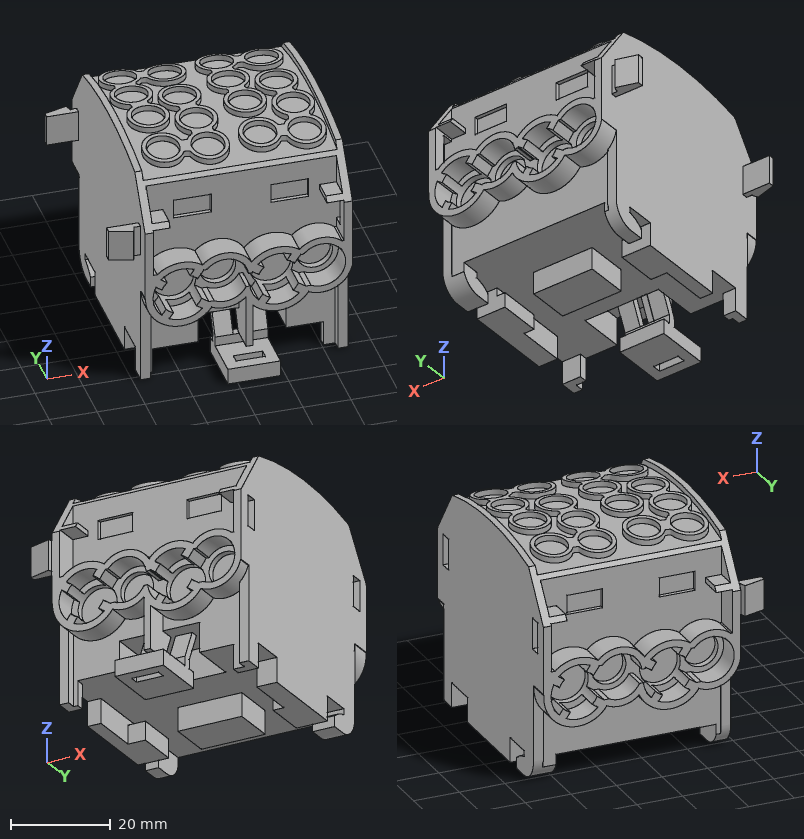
import cadquery as cq
import math

width = 43.3
half_width = width / 2
half_depth = 25.97
height = 49.3

shoulder_y, shoulder_z = 18.7, 47.0
slope_foot_z = 36.7
arc_radius = (shoulder_y**2 + (height - shoulder_z) ** 2) / (2 * (height - shoulder_z))
arc_center_z = height - arc_radius
front_step_y, front_step_z = 22.85, 21.1
back_step_y, back_step_z = 21.1, 21.7
back_corner_radius = 5.0
underside_z = 5.5
front_leg_back_y = -18.87
middle_foot_front_y, middle_foot_back_y = -11.2, 9.7
hook_tip_y, hook_root_y = 12.7, 16.5
hook_tip_z, hook_knee_z, hook_root_z = 2.4, 3.6, 4.2
hook_knee_y = 14.6

roof_drop = 1.25
roof_half_width = 20.2
wall_y = 20.5
lower_wall_y = 20.8
upper_plate_thickness = 1.8
lower_plate_thickness = 2.15

left_foot_thickness = 3.1
right_leg_thickness = 4.6
right_foot_thickness = 5.1
bar_length = 7.05
left_bar_height = 4.2
right_bar_height = 3.55

tab_length = 3.5
tab_bottom_z, tab_top_z = 37.05, 38.2

window_x = 10.15
window_width = 7.85
window_bottom_z, window_top_z = 35.8, 40.0
window_depth = 0.9

clip_length = 6.64
clip_bottom_z, clip_top_z = 29.7, 36.5
clip_inner_y, clip_outer_y, clip_barb_y = 21.28, 22.6, 24.0
clip_barb_x = 1.8
clip_neck_x = 1.3
slot_inner_y, slot_outer_y = wall_y, 23.15

funnel_pitch = 20.2
large_x, large_z = -14.0, 21.0
small_x, small_z = -5.0, 22.65
large_radius, large_mouth_radius, large_bore_radius = 7.55, 5.97, 4.47
small_radius, small_mouth_radius, small_bore_radius = 6.5, 4.98, 3.74
bore_depth = 1.5
guide_rib_width = 1.9
guide_rib_angles = [55 + 90 * i for i in range(4)]
narrow_link_bottom_z, narrow_link_top_z = 20.35, 23.4
wide_link_bottom_z, wide_link_top_z = 18.2, 25.9
large_filler_top_z, large_filler_width = 26.55, 1.0
small_filler_top_z, small_filler_width = 27.6, 0.7

group_pitch = 20.2
collar_radius, collar_bore_radius = 4.28, 3.37
collar_offsets = {
    "corner": (-5.02, 14.24),
    "across": (4.05, 13.22),
    "side": (-5.02, 6.0),
    "inner": (-4.05, -2.65),
}
collar_bridges = [("corner", "across", 3.3), ("corner", "side", 4.5), ("side", "inner", 3.7)]
bridge_fillet = 0.4

latch_x = 0.15
latch_width = 11.06
overall_depth = 55.25
latch_front_y = half_depth - overall_depth
latch_back_y = -16.7
latch_plate_height = 3.55
latch_step_y, latch_step_z = -20.3, 5.65
latch_arm_back_y = -18.5
latch_arm_gap = 3.5
latch_arm_steepness = 2.2
latch_slot_width, latch_slot_depth = 6.1, 2.0
latch_slot_front_y = -26.8
recess_width, recess_top_z = 18.3, 12.1
recess_back_y = -10.0

web_width = 1.43
web_bottom_z = 6.1
web_back_y = -20.1
stop_width = 14.6
stop_bottom_z = 0.26


def block(x0, x1, y0, y1, z0, z1):
    return cq.Workplane("XY").box(x1 - x0, y1 - y0, z1 - z0, centered=False).translate((x0, y0, z0))


def disc(x, z, radius, y0, y1):
    """Cylinder along Y from y0 to y1."""
    return cq.Workplane("XZ", origin=(x, y0, z)).circle(radius).extrude(y0 - y1)


def half_turn(shape):
    return shape.rotate((0, 0, 0), (0, 0, 1), 180)


def roof_cylinder(radius):
    """Cylinder along X whose upper side is the curved roof."""
    return (
        cq.Workplane("YZ", origin=(-width, 0, arc_center_z)).circle(radius).extrude(2 * width)
    )


def end_profile(x0, x1):
    """Side outline of the housing with its rail feet, from x0 to x1."""
    r = back_corner_radius
    middle = r * math.sqrt(0.5)
    return (
        cq.Workplane("YZ", origin=(x0, 0, 0))
        .moveTo(-shoulder_y, shoulder_z)
        .threePointArc((0, height), (shoulder_y, shoulder_z))
        .lineTo(half_depth, slope_foot_z)
        .lineTo(half_depth, back_step_z)
        .lineTo(back_step_y, back_step_z)
        .lineTo(back_step_y, r)
        .threePointArc((back_step_y - r + middle, r - middle), (back_step_y - r, 0))
        .lineTo(hook_tip_y, 0)
        .lineTo(hook_tip_y, hook_tip_z)
        .lineTo(hook_knee_y, hook_knee_z)
        .lineTo(hook_root_y, hook_root_z)
        .lineTo(hook_root_y, underside_z)
        .lineTo(middle_foot_back_y, underside_z)
        .lineTo(middle_foot_back_y, 0)
        .lineTo(middle_foot_front_y, 0)
        .lineTo(middle_foot_front_y, underside_z)
        .lineTo(front_leg_back_y, underside_z)
        .lineTo(front_leg_back_y, 0)
        .lineTo(-front_step_y, 0)
        .lineTo(-front_step_y, front_step_z)
        .lineTo(-half_depth, front_step_z)
        .lineTo(-half_depth, slope_foot_z)
        .close()
        .extrude(x1 - x0)
    )


def shell():
    """Housing block with its roof lowered, its end faces pocketed and its feet shaped."""
    left, right = -half_width, half_width
    body = end_profile(left, right)

    above_roof = block(-roof_half_width, roof_half_width, -wall_y, wall_y, slope_foot_z, height)
    body = body.cut(above_roof.cut(roof_cylinder(arc_radius - roof_drop)))

    upper_x = half_width - upper_plate_thickness
    lower_x = half_width - lower_plate_thickness
    pocket = block(-upper_x, upper_x, -half_depth, -wall_y, front_step_z, height)
    pocket = pocket.union(block(-lower_x, lower_x, -half_depth, -lower_wall_y, 0, front_step_z))
    for side in (-1, 1):
        outer, inner = side * upper_x, side * (upper_x - tab_length)
        tab = block(min(outer, inner), max(outer, inner), -half_depth, -wall_y, tab_bottom_z, tab_top_z)
        pocket = pocket.cut(tab)
    body = body.cut(pocket).cut(half_turn(pocket))

    body = body.cut(block(left + left_foot_thickness, right - right_foot_thickness,
                          -half_depth, half_depth, 0, underside_z))
    body = body.cut(block(right - right_foot_thickness, right - right_leg_thickness,
                          -half_depth, 0, 0, underside_z))
    for x0, x1, bar_height in (
        (left, left + bar_length, left_bar_height),
        (right - bar_length, right, right_bar_height),
    ):
        body = body.union(block(x0, x1, 0, middle_foot_back_y, 0, bar_height))
    return body


def label_windows():
    """Two shallow rectangular recesses in the front wall."""
    windows = cq.Workplane("XY")
    for x in (-window_x, window_x):
        windows = windows.union(
            block(x - window_width / 2, x + window_width / 2, -wall_y, -wall_y + window_depth,
                  window_bottom_z, window_top_z)
        )
    return windows


def clip(side):
    """Barbed snap clip beside the front (side = -1) or back (side = 1) end."""
    x = -half_width
    outline = [
        (x, clip_inner_y),
        (x - clip_length, clip_inner_y),
        (x - clip_length, clip_outer_y),
        (x - clip_barb_x, clip_barb_y),
        (x - clip_neck_x, clip_outer_y),
        (x, clip_outer_y),
    ]
    return (
        cq.Workplane("XY", origin=(0, 0, clip_bottom_z))
        .polyline([(px, side * py) for px, py in outline])
        .close()
        .extrude(clip_top_z - clip_bottom_z)
    )


def clip_slot(side):
    """Window in the right plate for the clip of the next housing."""
    y0, y1 = sorted((side * slot_inner_y, side * slot_outer_y))
    return block(half_width - upper_plate_thickness, half_width, y0, y1, clip_bottom_z, clip_top_z)


def funnel_walls():
    """Outer tubes of the four cable funnels on the front end."""
    walls = cq.Workplane("XY")
    for i in range(2):
        shift = i * funnel_pitch
        walls = walls.union(disc(large_x + shift, large_z, large_radius, -half_depth, -wall_y))
        walls = walls.union(disc(small_x + shift, small_z, small_radius, -half_depth, -wall_y))
    plate_x = half_width - upper_plate_thickness
    walls = walls.union(block(-plate_x, -plate_x + large_filler_width, -half_depth, -wall_y,
                              large_z, large_filler_top_z))
    walls = walls.union(block(plate_x - small_filler_width, plate_x, -half_depth, -wall_y,
                              small_z, small_filler_top_z))
    return walls.intersect(block(-half_width, half_width, -half_depth, half_depth, 0, height))


def funnel_bores():
    """Everything hollow in the four funnels: mouths, links and wire bores, less the guide ribs."""
    mouth_y, floor_y = -half_depth, -lower_wall_y
    bore_end_y = floor_y + bore_depth
    shifts = [0, funnel_pitch]

    hollow = block(small_x, large_x + funnel_pitch, mouth_y, floor_y,
                   narrow_link_bottom_z, narrow_link_top_z)
    for shift in shifts:
        hollow = hollow.union(disc(large_x + shift, large_z, large_mouth_radius, mouth_y, floor_y))
        hollow = hollow.union(block(large_x + shift, small_x + shift, mouth_y, floor_y,
                                    wide_link_bottom_z, wide_link_top_z))

    rib = block(0, large_radius, mouth_y, floor_y, -guide_rib_width / 2, guide_rib_width / 2)
    for shift in shifts:
        for angle in guide_rib_angles:
            turned = rib.rotate((0, 0, 0), (0, 1, 0), -angle)
            hollow = hollow.cut(turned.translate((large_x + shift, 0, large_z)))

    for shift in shifts:
        hollow = hollow.union(disc(large_x + shift, large_z, large_bore_radius, mouth_y, bore_end_y))
        hollow = hollow.union(disc(small_x + shift, small_z, small_mouth_radius, mouth_y, floor_y))
        hollow = hollow.union(disc(small_x + shift, small_z, small_bore_radius, mouth_y, bore_end_y))
    return hollow


def collar_chain():
    """Four bridged collars as straight columns, before their ends take the curve of the roof."""
    base = cq.Workplane("XY", origin=(0, 0, slope_foot_z))
    rise = height - slope_foot_z
    chain = base.pushPoints(list(collar_offsets.values())).circle(collar_radius).extrude(rise)
    for start, end, bridge_width in collar_bridges:
        (x0, y0), (x1, y1) = collar_offsets[start], collar_offsets[end]
        bridge = (
            base.center((x0 + x1) / 2, (y0 + y1) / 2)
            .transformed(rotate=(0, 0, math.degrees(math.atan2(y1 - y0, x1 - x0))))
            .rect(math.hypot(x1 - x0, y1 - y0), bridge_width)
            .extrude(rise)
        )
        chain = chain.union(bridge)
    chain = chain.edges("|Z").fillet(bridge_fillet)
    bores = base.pushPoints(list(collar_offsets.values())).circle(collar_bore_radius).extrude(rise)
    return chain.cut(bores)


def collars():
    """Two groups of eight collars, each two chains half a turn apart, following the roof curve."""
    chain = collar_chain()
    skin = roof_cylinder(arc_radius).cut(roof_cylinder(arc_radius - roof_drop))
    group = chain.union(half_turn(chain)).intersect(skin)
    offset = group_pitch / 2
    return group.translate((-offset, 0, 0)).union(group.translate((offset, 0, 0)))


def latch_recess():
    """Pocket through the front wall, open below, for the latch arms."""
    return block(latch_x - recess_width / 2, latch_x + recess_width / 2,
                 -lower_wall_y, recess_back_y, underside_z, recess_top_z)


def web():
    """Thin web hanging below the funnels between the latch arms."""
    lean = (recess_top_z - web_bottom_z) / latch_arm_steepness
    return (
        cq.Workplane("YZ", origin=(latch_x - web_width / 2, 0, 0))
        .moveTo(-half_depth, web_bottom_z)
        .lineTo(web_back_y, web_bottom_z)
        .lineTo(web_back_y + lean, recess_top_z)
        .lineTo(-wall_y, recess_top_z)
        .lineTo(-wall_y, small_z)
        .lineTo(-half_depth, small_z)
        .close()
        .extrude(web_width)
    )


def make_housing():
    """Housing with funnels on both ends, snap clips, roof collars and a recess for the latch."""
    body = shell()
    windows, walls, bores = label_windows(), funnel_walls(), funnel_bores()
    body = body.cut(windows).cut(half_turn(windows))
    body = body.cut(latch_recess())
    body = body.union(web())
    body = body.union(walls).union(half_turn(walls))
    body = body.cut(bores).cut(half_turn(bores))
    for side in (-1, 1):
        body = body.union(clip(side)).cut(clip_slot(side))
    body = body.union(collars())
    stop = block(latch_x - stop_width / 2, latch_x + stop_width / 2,
                 0, middle_foot_back_y, stop_bottom_z, underside_z)
    return body.union(stop)


def make_latch():
    """Rail latch: slotted pull plate with two leaning arms that reach up into the housing."""
    lean = (recess_top_z - latch_step_z) / latch_arm_steepness
    latch = (
        cq.Workplane("YZ", origin=(latch_x - latch_width / 2, 0, 0))
        .moveTo(latch_front_y, 0)
        .lineTo(latch_back_y, 0)
        .lineTo(latch_back_y, latch_plate_height)
        .lineTo(latch_arm_back_y, latch_plate_height)
        .lineTo(latch_arm_back_y, latch_step_z)
        .lineTo(latch_arm_back_y + lean, recess_top_z)
        .lineTo(latch_step_y + lean, recess_top_z)
        .lineTo(latch_step_y, latch_step_z)
        .lineTo(latch_step_y, latch_plate_height)
        .lineTo(latch_front_y, latch_plate_height)
        .close()
        .extrude(latch_width)
    )
    latch = latch.cut(block(latch_x - latch_arm_gap / 2, latch_x + latch_arm_gap / 2,
                            latch_front_y, 0, latch_step_z, recess_top_z))
    return latch.cut(block(latch_x - latch_slot_width / 2, latch_x + latch_slot_width / 2,
                           latch_slot_front_y, latch_slot_front_y + latch_slot_depth,
                           0, latch_plate_height))


housing = make_housing()
latch = make_latch()

result = cq.Compound.makeCompound([*housing.vals(), *latch.vals()])